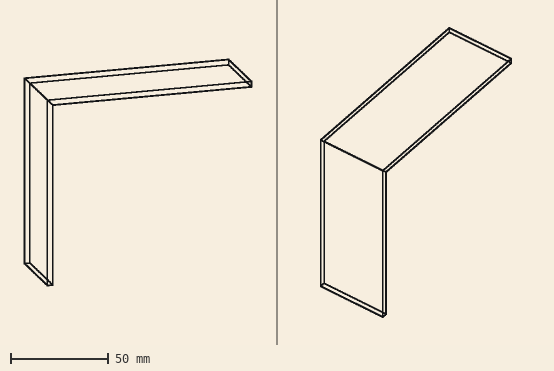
import cadquery as cq

width = 40.0
arm_length = 110.0
leg_height = 100.0
thickness = 3.0

profile = [
    (0, 0),
    (arm_length, 0),
    (arm_length, -thickness),
    (thickness, -thickness),
    (thickness, -leg_height),
    (0, -leg_height),
]

result = cq.Workplane("YZ").polyline(profile).close().extrude(width)